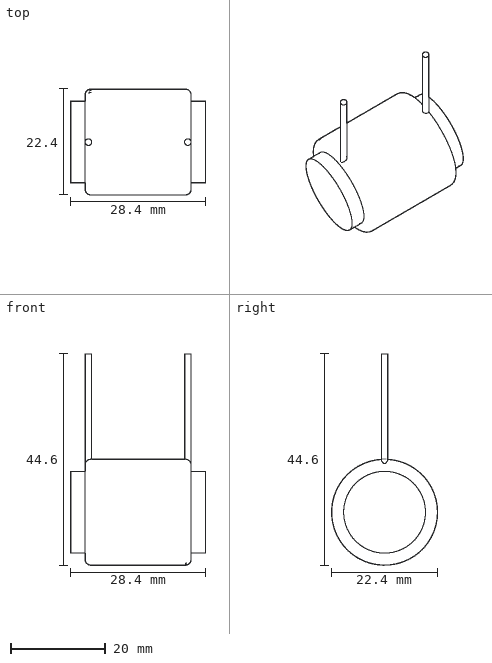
import cadquery as cq

total_height = 44.6
winding_diameter = 22.4
winding_length = 22.4
winding_edge_radius = 1.25
core_diameter = 17.25
core_length = 28.45
lead_diameter = 1.4
lead_inset = 0.022

winding_radius = winding_diameter / 2
lead_offset = (winding_length - lead_diameter) / 2 - lead_inset
lead_bottom = winding_radius - 2 * winding_edge_radius
lead_top = total_height - winding_radius


def cylinder_along_x(diameter, length):
    """Solid cylinder on the X axis, centred on the origin."""
    return cq.Workplane("YZ", origin=(-length / 2, 0, 0)).circle(diameter / 2).extrude(length)


def lead(x):
    """Straight vertical wire, rooted inside the winding."""
    return (
        cq.Workplane("XY", origin=(x, 0, lead_bottom))
        .circle(lead_diameter / 2)
        .extrude(lead_top - lead_bottom)
    )


winding = cylinder_along_x(winding_diameter, winding_length)
winding = winding.faces("<X or >X").edges().fillet(winding_edge_radius)
core = cylinder_along_x(core_diameter, core_length)
result = winding.union(core)

for side in (-1, 1):
    result = result.union(lead(side * lead_offset))